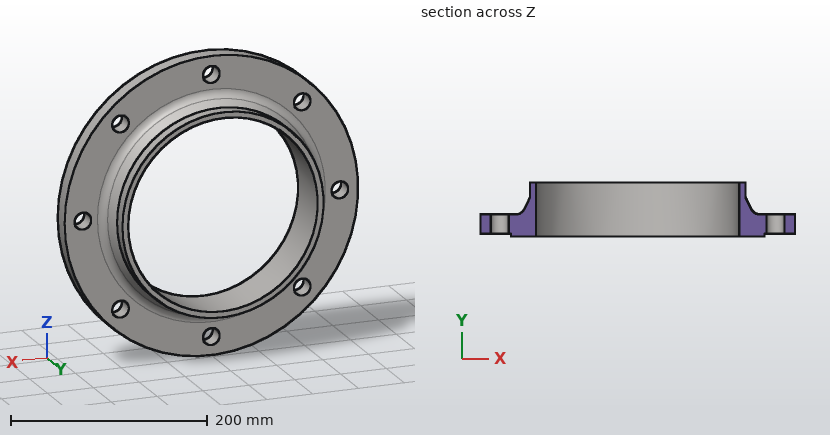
import cadquery as cq

flange_diameter = 320.0
flange_thickness = 20.0
face_diameter = 258.0
face_height = 3.0
bore_diameter = 206.5
total_length = 55.0

neck_diameter = 219.2
neck_straight_length = 15.0
cone_base_diameter = 236.0
root_fillet_radius = 10.0

bolt_count = 8
bolt_circle_diameter = 280.0
bolt_hole_diameter = 18.0

flange_back = flange_thickness
neck_end = total_length - face_height
cone_top = neck_end - neck_straight_length


def make_body():
    """Revolve the half section of flange, raised face and weld neck."""
    profile = [
        (bore_diameter / 2, -face_height),
        (face_diameter / 2, -face_height),
        (face_diameter / 2, 0),
        (flange_diameter / 2, 0),
        (flange_diameter / 2, flange_back),
        (cone_base_diameter / 2, flange_back),
        (neck_diameter / 2, cone_top),
        (neck_diameter / 2, neck_end),
        (bore_diameter / 2, neck_end),
    ]
    body = cq.Workplane("XY").polyline(profile).close().revolve(360, (0, 0), (0, 1))
    root_size = cone_base_diameter / 2
    margin = 0.3
    root_edge = cq.selectors.BoxSelector(
        (-root_size - margin, flange_back - margin, -root_size - margin),
        (root_size + margin, flange_back + margin, root_size + margin),
        boundingbox=True,
    )
    return body.edges(root_edge).fillet(root_fillet_radius)


def make_bolt_holes():
    """Cylinders through the flange, evenly spaced on the bolt circle."""
    return (
        cq.Workplane("XZ")
        .polarArray(bolt_circle_diameter / 2, 0, 360, bolt_count)
        .circle(bolt_hole_diameter / 2)
        .extrude(flange_thickness, both=True)
    )


result = make_body().cut(make_bolt_holes())